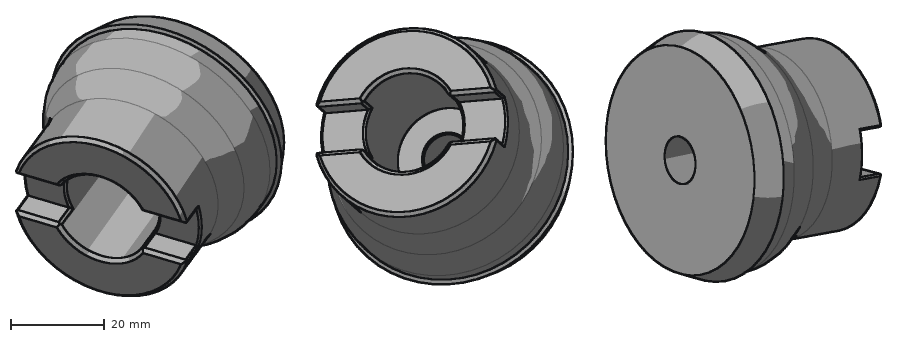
import cadquery as cq

length = 40.0
neck_end = 15.0
belly_start = 30.0
flange_rim = 33.75

neck_radius = 21.0
belly_radius = 26.3
flange_radius = 27.25
flange_back_radius = 24.95

flange_taper = (flange_radius - flange_back_radius) / (length - flange_rim)
flange_front = flange_rim - (flange_radius - belly_radius) * flange_taper

bore_radius = 10.95
bore_depth = 30.0
hole_radius = 5.2
hole_chamfer = 0.3

slot_width = 10.25
slot_depth = 6.2
face_chamfer = 0.85
slot_chamfer = 0.5

shoulder_length = belly_start - neck_end
shoulder_rise = belly_radius - neck_radius
shoulder_radius = (shoulder_length**2 + shoulder_rise**2) / (4 * shoulder_rise)
shoulder_middle = (neck_radius + shoulder_rise / 2, neck_end + shoulder_length / 2)


def make_body():
    """Revolve the half section: shaped outside, chamfered bore and through hole."""
    profile = (
        cq.Workplane("XY")
        .moveTo(bore_radius + face_chamfer, 0)
        .lineTo(neck_radius - face_chamfer, 0)
        .lineTo(neck_radius, face_chamfer)
        .lineTo(neck_radius, neck_end)
        .radiusArc(shoulder_middle, shoulder_radius)
        .radiusArc((belly_radius, belly_start), -shoulder_radius)
        .lineTo(belly_radius, flange_front)
        .lineTo(flange_radius, flange_rim)
        .lineTo(flange_back_radius, length)
        .lineTo(hole_radius, length)
        .lineTo(hole_radius, bore_depth + hole_chamfer)
        .lineTo(hole_radius + hole_chamfer, bore_depth)
        .lineTo(bore_radius, bore_depth)
        .lineTo(bore_radius, face_chamfer)
        .close()
    )
    return profile.revolve(360, (0, 0, 0), (0, 1, 0))


def make_slot():
    """Cross slot along X, with its mouth flared by the front face chamfer."""
    half_width = slot_width / 2
    section = (
        cq.Workplane("YZ")
        .moveTo(0, half_width + face_chamfer)
        .lineTo(face_chamfer, half_width)
        .lineTo(slot_depth, half_width)
        .lineTo(slot_depth, -half_width)
        .lineTo(face_chamfer, -half_width)
        .lineTo(0, -half_width - face_chamfer)
        .close()
    )
    return section.extrude(flange_radius, both=True)


def slot_edges(body, radius):
    """Edges of the slot floor and walls on the cylinder of the given radius."""
    margin = 0.05
    half_width = slot_width / 2

    def on_slot(edge):
        middle = edge.positionAt(0.5)
        distance = (middle.x**2 + middle.z**2) ** 0.5
        on_cylinder = abs(distance - radius) < margin
        in_slot = abs(middle.z) < half_width + margin
        below_flare = face_chamfer + margin < middle.y < slot_depth + margin
        return on_cylinder and in_slot and below_flare

    return body.edges().filter(on_slot)


result = make_body().cut(make_slot())
for cylinder_radius in (neck_radius, bore_radius):
    result = slot_edges(result, cylinder_radius).chamfer(slot_chamfer)